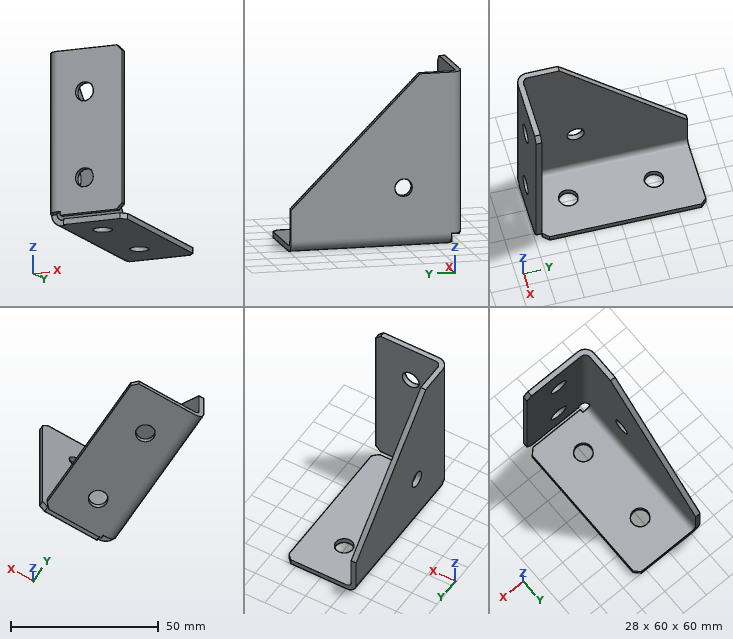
import cadquery as cq

width = 28.0
leg = 60.0
thickness = 2.0
outer_radius = 4.0
inner_radius = outer_radius - thickness

web_end = 15.0
web_hole_diameter = 6.0
web_hole_offset = 20.75

flange_hole_diameter = 6.6
flange_hole_x = width / 2
flange_hole_places = (leg / 4, 3 * leg / 4)
corner_chamfer = 2.0

flange_start = 2.7
relief_end_x = 5.01

QUARTER_TURN = 90


def bent_section():
    """L section of one fold in XY: the web, the bend and the flange."""
    return (
        cq.Workplane("XY")
        .moveTo(0, leg)
        .lineTo(0, outer_radius)
        .radiusArc((outer_radius, 0), -outer_radius)
        .lineTo(width, 0)
        .lineTo(width, thickness)
        .lineTo(outer_radius, thickness)
        .radiusArc((thickness, outer_radius), inner_radius)
        .lineTo(thickness, leg)
        .close()
    )


def flange_outline():
    """Front flange outline in XZ, past the relief notch and with chamfered free corners."""
    return (
        cq.Workplane("XZ")
        .moveTo(0, leg)
        .lineTo(0, outer_radius)
        .lineTo(relief_end_x, outer_radius)
        .lineTo(relief_end_x, flange_start)
        .lineTo(width - corner_chamfer, flange_start)
        .lineTo(width, flange_start + corner_chamfer)
        .lineTo(width, leg - corner_chamfer)
        .lineTo(width - corner_chamfer, leg)
        .close()
    )


def folded_leg():
    """Web and front flange, joined by a vertical bend."""
    sheet = bent_section().extrude(leg)
    trimmed = sheet.intersect(flange_outline().extrude(-leg))
    holes = (
        cq.Workplane("XZ")
        .pushPoints([(flange_hole_x, z) for z in flange_hole_places])
        .circle(flange_hole_diameter / 2)
        .extrude(-thickness)
    )
    return trimmed.cut(holes)


def swap_y_and_z(body):
    """Reflect a body in the plane Y = Z: mirror in Z, then a quarter turn about X."""
    return body.mirror("XY").rotate((0, 0, 0), (1, 0, 0), QUARTER_TURN)


def web_trim():
    """Corner cut off the web by its sloping edge."""
    return (
        cq.Workplane("YZ")
        .moveTo(web_end, leg)
        .lineTo(leg, leg)
        .lineTo(leg, web_end)
        .close()
        .extrude(thickness)
    )


def web_hole():
    """Round hole through the web, equally far from both folds."""
    return (
        cq.Workplane("YZ")
        .center(web_hole_offset, web_hole_offset)
        .circle(web_hole_diameter / 2)
        .extrude(thickness)
    )


front_leg = folded_leg()
bottom_leg = swap_y_and_z(front_leg)
result = front_leg.union(bottom_leg).cut(web_trim()).cut(web_hole())